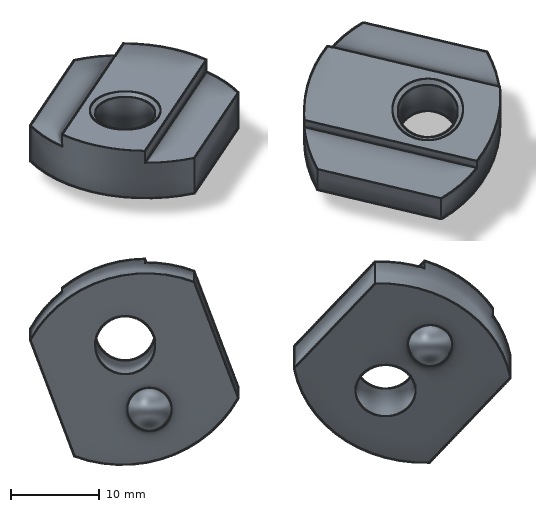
import cadquery as cq
import math

width = 19.8
length = 22.0
end_radius = 15.0
body_height = 4.8

rail_width = 10.0
rail_height = 1.6
top_height = body_height + rail_height

hole_diameter = 6.8
countersink_diameter = 8.0
countersink_angle = 120.0
hole_y = -3.0

ball_radius = 2.5
ball_y = 5.0

half_width = width / 2
end_rise = end_radius - math.sqrt(end_radius**2 - half_width**2)
corner_y = length / 2 - end_rise


def make_blank():
    """Plate outline extruded to the top of the rail."""
    return (
        cq.Workplane("XY")
        .moveTo(-half_width, -corner_y)
        .threePointArc((0, -length / 2), (half_width, -corner_y))
        .lineTo(half_width, corner_y)
        .threePointArc((0, length / 2), (-half_width, corner_y))
        .close()
        .extrude(top_height)
    )


def make_side_step(side):
    """Material removed beside the rail; side is -1 or +1 along X."""
    step_width = (width - rail_width) / 2
    step_x = side * (rail_width + step_width) / 2
    return (
        cq.Workplane("XY", origin=(step_x, 0, body_height))
        .rect(step_width, length)
        .extrude(rail_height)
    )


ball = cq.Workplane("XY", origin=(0, ball_y, 0)).sphere(ball_radius)

body = make_blank()
for side in (-1, 1):
    body = body.cut(make_side_step(side))

body = (
    body.faces(">Z")
    .workplane(origin=(0, hole_y, top_height))
    .cskHole(hole_diameter, countersink_diameter, countersink_angle)
)

result = body.union(ball)